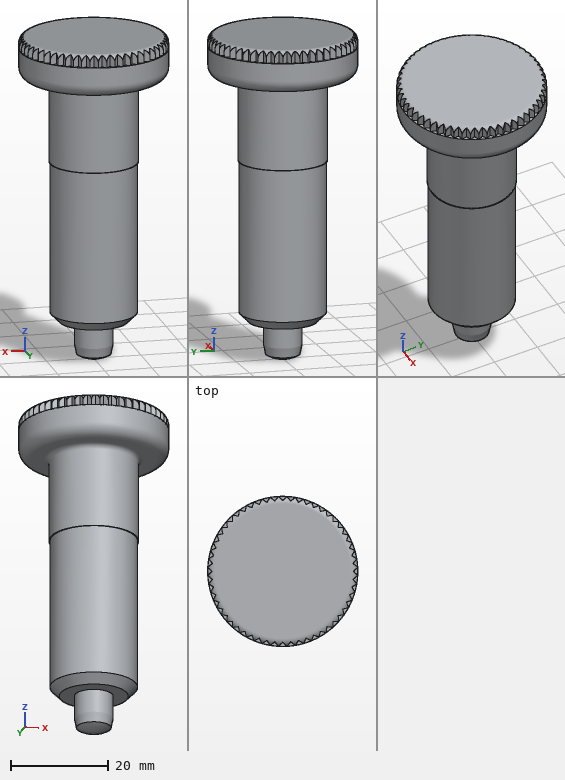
import cadquery as cq
import math


total_height = 69.0
knob_height = 9.0
stem_length = 17.9
sleeve_length = 34.15
pin_cylinder_length = 5.0
pin_taper_length = 2.0

knob_bottom_z = total_height - knob_height
sleeve_top_z = knob_bottom_z - stem_length
sleeve_bottom_z = sleeve_top_z - sleeve_length
pin_taper_top_z = sleeve_bottom_z - pin_cylinder_length
pin_dome_z = pin_taper_top_z - pin_taper_length

knob_radius = 31.0 / 2
knob_top_fillet = 1.5
knob_bottom_fillet = 2.5
stem_radius = 9.25
stem_fillet = 1.05
sleeve_radius = 9.05
sleeve_chamfer = 1.9
pin_radius = 4.0
pin_end_radius = 3.6

groove_count = 56
groove_depth = 0.9
groove_height = 2.55
groove_flank_angle = 45.0


def diagonal_arc_offset(radius):
    """Distance from a fillet's centre to its arc midpoint, along either axis."""
    return radius * math.sqrt(0.5)


def make_plunger_blank():
    """Knob, stem and pin revolved as one profile of radius against height."""
    knob_top_mid = diagonal_arc_offset(knob_top_fillet)
    knob_bottom_mid = diagonal_arc_offset(knob_bottom_fillet)
    stem_mid = diagonal_arc_offset(stem_fillet)

    knob_top_center = (knob_radius - knob_top_fillet, total_height - knob_top_fillet)
    knob_bottom_center = (knob_radius - knob_bottom_fillet, knob_bottom_z + knob_bottom_fillet)
    stem_fillet_center = (stem_radius + stem_fillet, knob_bottom_z - stem_fillet)

    dome_radius = (pin_end_radius**2 + pin_dome_z**2) / (2 * pin_dome_z)
    dome_mid_radius = pin_end_radius / 2
    dome_mid_z = dome_radius - math.sqrt(dome_radius**2 - dome_mid_radius**2)

    return (
        cq.Workplane("XZ")
        .moveTo(0, 0)
        .threePointArc((dome_mid_radius, dome_mid_z), (pin_end_radius, pin_dome_z))
        .lineTo(pin_radius, pin_taper_top_z)
        .lineTo(pin_radius, sleeve_top_z)
        .lineTo(stem_radius, sleeve_top_z)
        .lineTo(stem_radius, stem_fillet_center[1])
        .threePointArc(
            (stem_fillet_center[0] - stem_mid, stem_fillet_center[1] + stem_mid),
            (stem_fillet_center[0], knob_bottom_z),
        )
        .lineTo(knob_bottom_center[0], knob_bottom_z)
        .threePointArc(
            (knob_bottom_center[0] + knob_bottom_mid, knob_bottom_center[1] - knob_bottom_mid),
            (knob_radius, knob_bottom_center[1]),
        )
        .lineTo(knob_radius, knob_top_center[1])
        .threePointArc(
            (knob_top_center[0] + knob_top_mid, knob_top_center[1] + knob_top_mid),
            (knob_top_center[0], total_height),
        )
        .lineTo(0, total_height)
        .close()
        .revolve(360, (0, 0, 0), (0, 1, 0))
    )


def make_knurl_grooves():
    """V-shaped cutters around the rim, the first one on +X, open at the knob top."""
    root_radius = knob_radius - groove_depth
    cutter_depth = 2 * groove_depth
    cutter_half_width = cutter_depth * math.tan(math.radians(groove_flank_angle))
    cutter = (
        cq.Workplane("XY", origin=(0, 0, total_height - groove_height))
        .moveTo(root_radius, 0)
        .lineTo(root_radius + cutter_depth, -cutter_half_width)
        .lineTo(root_radius + cutter_depth, cutter_half_width)
        .close()
        .extrude(groove_height)
        .val()
    )
    angle_step = 360 / groove_count
    return [
        cutter.rotate(cq.Vector(0, 0, 0), cq.Vector(0, 0, 1), index * angle_step)
        for index in range(groove_count)
    ]


def make_plunger():
    return make_plunger_blank().val().cut(*make_knurl_grooves())


def make_sleeve():
    """Plain tube, chamfered at its lower outer edge, with a bore that fits the pin."""
    return (
        cq.Workplane("XY", origin=(0, 0, sleeve_bottom_z))
        .circle(sleeve_radius)
        .extrude(sleeve_length)
        .faces("<Z")
        .chamfer(sleeve_chamfer)
        .faces(">Z")
        .workplane()
        .hole(2 * pin_radius)
    )


plunger = make_plunger()
sleeve = make_sleeve()

result = cq.Compound.makeCompound([*plunger.Solids(), sleeve.val()])